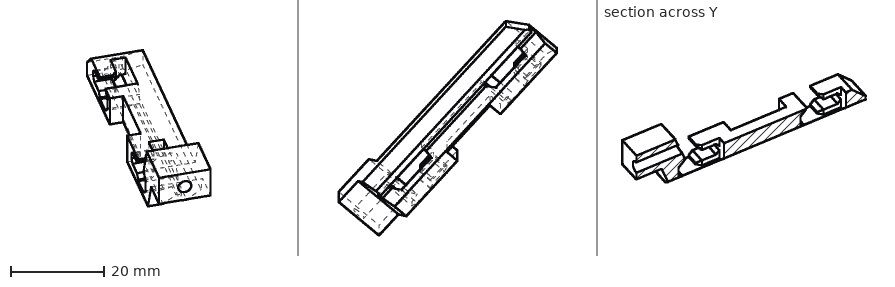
import cadquery as cq
import math

length = 58.0
width = 11.5
height = 14.0

rail_height = height / 2
arm_lean = math.radians(20)
lean_run = rail_height * math.tan(arm_lean)
arm_foot_x = 45.6
rail_end_x = 49.1
end_chamfer = 3.5

groove_start_y = 3.35
groove_depth = 2.6
groove_back_y = 7.2
back_foot_z = 0.15
back_chamfer = 2.9

notch_start_x = 18.4
notch_length = 14.0
notch_depth = 3.0

pocket_start_x = 5.1
pocket_spacing = 30.75
pocket_length = 11.4
entry_offset = 5.4
entry_floor_z = 1.15
entry_chamfer = 1.7
slot_width = 3.0
slot_end_chamfer = 0.85
flare = 1.0
front_wall = 3.85

hole_diameter = 2.9
hole_z = rail_height * 1.5


def prism_along_y(points, start_y, end_y):
    """Extrude an (x, z) outline from start_y to end_y."""
    plane = cq.Workplane("XZ", origin=(0, start_y, 0))
    return plane.polyline(points).close().extrude(start_y - end_y)


def make_body():
    outline = [
        (0, 0),
        (rail_end_x, 0),
        (rail_end_x + lean_run, rail_height),
        (length, rail_height),
        (length, height),
        (arm_foot_x + lean_run, height),
        (arm_foot_x, rail_height),
        (end_chamfer, rail_height),
        (0, rail_height - end_chamfer),
    ]
    return prism_along_y(outline, 0, width)


def make_corner_cut():
    """Vertical bevel on the rear corner of the low end."""
    corner = [(0, width), (0, width - end_chamfer), (end_chamfer, width)]
    return cq.Workplane("XY").polyline(corner).close().extrude(rail_height)


def make_underside_cut():
    """Groove and rear bevel along the whole underside."""
    profile = [
        (groove_start_y, 0),
        (groove_start_y + groove_depth, groove_depth),
        (groove_back_y, groove_depth),
        (groove_back_y, back_foot_z),
        (width - back_chamfer, back_foot_z),
        (width, back_foot_z + back_chamfer),
        (width, 0),
    ]
    return cq.Workplane("YZ").polyline(profile).close().extrude(rail_end_x + lean_run)


def make_notch():
    size = (notch_length, notch_depth, rail_height)
    return cq.Workplane("XY").box(*size, centered=False).translate((notch_start_x, 0, 0))


def make_entry(start_x, end_x, start_y):
    """Opening with both right-hand corners bevelled, running from start_y to the groove back."""
    outline = [
        (start_x, entry_floor_z),
        (end_x - entry_chamfer, entry_floor_z),
        (end_x, entry_floor_z + entry_chamfer),
        (end_x, rail_height - entry_chamfer),
        (end_x - entry_chamfer, rail_height),
        (start_x, rail_height),
    ]
    return prism_along_y(outline, start_y, groove_back_y)


def make_pocket(start_x):
    end_x = start_x + pocket_length
    entry_x = start_x + entry_offset
    slot_z = (entry_floor_z + rail_height) / 2
    slot_bottom = slot_z - slot_width / 2
    slot_top = slot_z + slot_width / 2

    entry = make_entry(entry_x, end_x, 0)
    cavity = make_entry(start_x, end_x, front_wall)

    slot_outline = [
        (start_x, slot_bottom + slot_end_chamfer),
        (start_x + slot_end_chamfer, slot_bottom),
        (entry_x - flare, slot_bottom),
        (entry_x, slot_bottom - flare),
        (entry_x, slot_top + flare),
        (entry_x - flare, slot_top),
        (start_x + slot_end_chamfer, slot_top),
        (start_x, slot_top - slot_end_chamfer),
    ]
    slot = prism_along_y(slot_outline, 0, front_wall)

    wall_bevel = [
        (entry_x - flare, front_wall),
        (entry_x, front_wall - flare),
        (entry_x, front_wall),
    ]
    lead_in = (
        cq.Workplane("XY", origin=(0, 0, entry_floor_z))
        .polyline(wall_bevel)
        .close()
        .extrude(rail_height - entry_floor_z)
    )
    return entry.union(cavity).union(slot).union(lead_in)


def make_arm_hole():
    plane = cq.Workplane("YZ", origin=(arm_foot_x, width / 2, hole_z))
    return plane.circle(hole_diameter / 2).extrude(length - arm_foot_x)


result = make_body()
result = result.cut(make_corner_cut())
result = result.cut(make_underside_cut())
result = result.cut(make_notch())
for pocket_number in range(2):
    pocket_x = pocket_start_x + pocket_number * pocket_spacing
    result = result.cut(make_pocket(pocket_x))
result = result.cut(make_arm_hole())